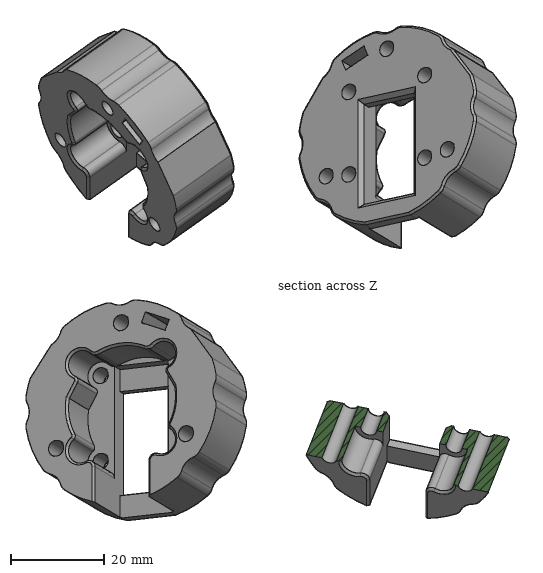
import cadquery as cq
import math

thickness = 16.95
rim_radius = 22.5
bottom_flat_z = -21.75
rim_chamfer = 0.5

scallop_step = 45
scallop_count = 7
first_scallop_angle = -45
scallop_radius = 4.18
scallop_floor = 21.45
scallop_blend_radius = 2.8

flat_tilt = 35.4
flat_distance = 21.6

pocket_depth = 10.97
pocket_radius = 12.5
pocket_chamfer = 0.55
lobe_radius = 2.98
lobe_offset = 9.5
slot_half_width = 6.25
pocket_chord_distance = 11.75
pocket_chord_angle = 150
top_blend_radius = 2.0
side_blend_radius = 0.98
slot_blend_radius = 1.5

channel_depth = 13.95
channel_top_z = 11.2
window_top_z = 6.3
window_bottom_z = -16.75
window_chamfer = 0.98

hole_diameter = 3.5
rim_hole_radius = 17.5
rim_hole_angles = (90, 210, 330)

key_length = 6.0
key_width = 2.5
key_x = 8.0
key_z = 17.0
key_tilt = -22.5

blank_size = 3 * rim_radius
slot_end_z = -1.2 * rim_radius

AXIS = (0, 0)


def polar(radius, angle):
    """Point at a radius and an angle in degrees from +X."""
    return (radius * math.cos(math.radians(angle)), radius * math.sin(math.radians(angle)))


def toward(start, end, distance):
    """Point at a distance from start on the way to end."""
    ratio = distance / math.dist(start, end)
    return (start[0] + ratio * (end[0] - start[0]), start[1] + ratio * (end[1] - start[1]))


def arc_middle(center, radius, start, end):
    """Middle of the shorter arc between two points of a circle."""
    return toward(center, ((start[0] + end[0]) / 2, (start[1] + end[1]) / 2), radius)


def add_arc(sketch, center, radius, start, end):
    """Extend an outline from start to end along the shorter arc of a circle."""
    return sketch.threePointArc(arc_middle(center, radius, start, end), end)


def meeting_point(center_a, radius_a, center_b, radius_b):
    """Crossing of two circles that lies to the left of the way from a to b."""
    gap = math.dist(center_a, center_b)
    along = (gap**2 + radius_a**2 - radius_b**2) / (2 * gap)
    across = math.sqrt(radius_a**2 - along**2)
    ux = (center_b[0] - center_a[0]) / gap
    uz = (center_b[1] - center_a[1]) / gap
    return (center_a[0] + along * ux - across * uz, center_a[1] + along * uz + across * ux)


def mirrored(point):
    """Point on the other side of the Z axis."""
    return (-point[0], point[1])


def rim_body():
    """Scalloped disc with shoulder flats, a bottom flat and a chamfered back edge."""
    scallop_distance = scallop_floor + scallop_radius
    blend_distance = rim_radius - scallop_blend_radius
    reach = scallop_radius + scallop_blend_radius
    cosine = (scallop_distance**2 + blend_distance**2 - reach**2) / (2 * scallop_distance * blend_distance)
    half_angle = math.degrees(math.acos(cosine))

    last_angle = first_scallop_angle + (scallop_count - 1) * scallop_step
    start = polar(rim_radius, first_scallop_angle - half_angle)
    outline = cq.Workplane("XZ").moveTo(*start)
    for index in range(scallop_count):
        angle = first_scallop_angle + index * scallop_step
        center = polar(scallop_distance, angle)
        blend_in = polar(blend_distance, angle - half_angle)
        blend_out = polar(blend_distance, angle + half_angle)
        rim_in = polar(rim_radius, angle - half_angle)
        rim_out = polar(rim_radius, angle + half_angle)
        scallop_in = toward(center, blend_in, scallop_radius)
        scallop_out = toward(center, blend_out, scallop_radius)
        if index > 0:
            outline = outline.threePointArc(polar(rim_radius, angle - scallop_step / 2), rim_in)
        outline = add_arc(outline, blend_in, scallop_blend_radius, rim_in, scallop_in)
        outline = add_arc(outline, center, scallop_radius, scallop_in, scallop_out)
        outline = add_arc(outline, blend_out, scallop_blend_radius, scallop_out, rim_out)
    bottom_angle = (first_scallop_angle + last_angle) / 2 + 180
    outline = outline.threePointArc(polar(rim_radius, bottom_angle), start)
    body = outline.close().extrude(-thickness)

    for normal_angle, distance in (
        (flat_tilt, flat_distance),
        (180 - flat_tilt, flat_distance),
        (bottom_angle, -bottom_flat_z),
    ):
        outside = (
            cq.Workplane("XY")
            .box(rim_radius, 2 * thickness, rim_radius, centered=(False, True, True))
            .translate((distance, thickness / 2, 0))
            .rotate((0, 0, 0), (0, -1, 0), normal_angle)
        )
        body = body.cut(outside)
    return body.faces(">Y").edges().chamfer(rim_chamfer)


def pocket_outline():
    """Closed pocket outline, symmetric about the Z axis."""
    upper_lobe = (-lobe_offset, lobe_offset)
    lower_lobe = (-lobe_offset, -lobe_offset)

    top_blend = meeting_point(
        upper_lobe, lobe_radius + top_blend_radius, AXIS, pocket_radius + top_blend_radius
    )
    side_reach = lobe_radius + side_blend_radius
    lower_blend = meeting_point(lower_lobe, side_reach, AXIS, pocket_radius + side_blend_radius)
    slot_blend_x = -slot_half_width - slot_blend_radius
    slot_drop = math.sqrt((lobe_radius + slot_blend_radius) ** 2 - (slot_blend_x + lobe_offset) ** 2)
    slot_blend = (slot_blend_x, -lobe_offset - slot_drop)

    chord_x, chord_z = polar(1, pocket_chord_angle)
    lobe_along_normal = upper_lobe[0] * chord_x + upper_lobe[1] * chord_z
    lobe_along_chord = -upper_lobe[0] * chord_z + upper_lobe[1] * chord_x
    blend_along_normal = pocket_chord_distance + side_blend_radius
    blend_along_chord = lobe_along_chord + math.sqrt(
        side_reach**2 - (blend_along_normal - lobe_along_normal) ** 2
    )

    def on_chord(normal, along):
        return (normal * chord_x - along * chord_z, normal * chord_z + along * chord_x)

    chord_blend = on_chord(blend_along_normal, blend_along_chord)
    chord_start = on_chord(pocket_chord_distance, blend_along_chord)
    chord_end = on_chord(
        pocket_chord_distance, math.sqrt(pocket_radius**2 - pocket_chord_distance**2)
    )

    top_start = toward(AXIS, top_blend, pocket_radius)
    top_end = toward(upper_lobe, top_blend, lobe_radius)
    upper_end = toward(upper_lobe, chord_blend, lobe_radius)
    side_end = toward(AXIS, lower_blend, pocket_radius)
    lower_start = toward(lower_lobe, lower_blend, lobe_radius)
    lower_end = toward(lower_lobe, slot_blend, lobe_radius)
    slot_start = (-slot_half_width, slot_blend[1])
    slot_end = (-slot_half_width, slot_end_z)

    upper_far = toward(upper_lobe, AXIS, -lobe_radius)
    lower_far = toward(lower_lobe, AXIS, -lobe_radius)

    arcs_and_lines = [
        (arc_middle(top_blend, top_blend_radius, top_start, top_end), top_end),
        (upper_far, upper_end),
        (arc_middle(chord_blend, side_blend_radius, upper_end, chord_start), chord_start),
        (None, chord_end),
        (arc_middle(AXIS, pocket_radius, chord_end, side_end), side_end),
        (arc_middle(lower_blend, side_blend_radius, side_end, lower_start), lower_start),
        (lower_far, lower_end),
        (arc_middle(slot_blend, slot_blend_radius, lower_end, slot_start), slot_start),
        (None, slot_end),
    ]

    outline = cq.Workplane("XZ").moveTo(*mirrored(top_start))
    outline = outline.threePointArc((0, pocket_radius), top_start)
    for middle, end in arcs_and_lines:
        outline = outline.threePointArc(middle, end) if middle else outline.lineTo(*end)
    outline = outline.lineTo(*mirrored(slot_end))

    starts = [top_start] + [end for _, end in arcs_and_lines[:-1]]
    for (middle, _), start in zip(reversed(arcs_and_lines), reversed(starts)):
        end = mirrored(start)
        outline = outline.threePointArc(mirrored(middle), end) if middle else outline.lineTo(*end)
    return outline.close()


def pocketed_blank():
    """Oversized block with the pocket cut in its front and the pocket rim chamfered."""
    blank = cq.Workplane("XZ").rect(blank_size, blank_size).extrude(-thickness)
    blank = blank.cut(pocket_outline().extrude(-pocket_depth))
    inner_wire = blank.faces("<Y").val().innerWires()[0]
    return blank.newObject(inner_wire.Edges()).chamfer(pocket_chamfer)


def slot_block(low_z, high_z, depth):
    """Block of the slot's width between two heights, from the front face inward."""
    return (
        cq.Workplane("XZ")
        .center(0, (low_z + high_z) / 2)
        .rect(2 * slot_half_width, high_z - low_z)
        .extrude(-depth)
    )


def window():
    """Window through the back, widening at 45 degrees to the back face."""
    flare = (
        cq.Workplane("XZ", origin=(0, thickness, 0))
        .center(0, (window_bottom_z + window_top_z) / 2)
        .rect(
            2 * (slot_half_width + window_chamfer),
            window_top_z - window_bottom_z + 2 * window_chamfer,
        )
        .extrude(window_chamfer, taper=45)
    )
    return slot_block(window_bottom_z, window_top_z, thickness).union(flare)


def round_holes():
    """Through holes: one in each lobe and three around the rim."""
    lobe_centers = [(sx * lobe_offset, sz * lobe_offset) for sx in (-1, 1) for sz in (-1, 1)]
    rim_centers = [polar(rim_hole_radius, angle) for angle in rim_hole_angles]
    return (
        cq.Workplane("XZ")
        .pushPoints(lobe_centers + rim_centers)
        .circle(hole_diameter / 2)
        .extrude(-thickness)
    )


def key_hole():
    """Tilted rectangular through hole."""
    return (
        cq.Workplane("XZ")
        .center(key_x, key_z)
        .transformed(rotate=(0, 0, key_tilt))
        .rect(key_length, key_width)
        .extrude(-thickness)
    )


result = (
    rim_body()
    .intersect(pocketed_blank())
    .cut(slot_block(slot_end_z, channel_top_z, channel_depth))
    .cut(window())
    .cut(round_holes())
    .cut(key_hole())
)